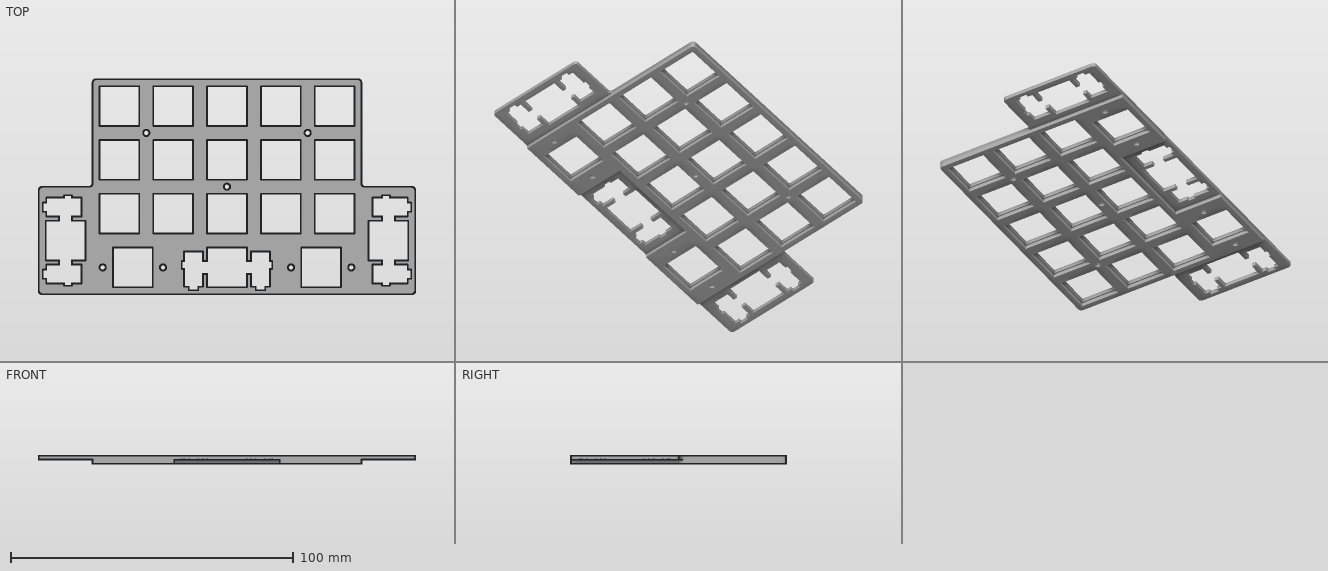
import cadquery as cq


plate_width = 133.4
pitch = plate_width / 7
total_thickness = 3.0
plate_thickness = 1.5
layer_thickness = total_thickness - plate_thickness
corner_radius = 1.27

plate_depth = 4 * pitch
shoulder_y = 2 * pitch
main_width = 5 * pitch

switch_size = 14.0
clip_relief = 0.5
relief_size = switch_size + 2 * clip_relief
grid_columns = (-2, -1, 0, 1, 2)
grid_rows = (1.5, 2.5, 3.5)
front_key_x = 1.75 * pitch
front_key_y = 0.5 * pitch
side_key_x = 3 * pitch
side_key_y = pitch

stab_offset = 11.9
stab_width = 6.7
stab_top = 5.6
stab_bottom = -6.8
foot_width = 3.2
foot_bottom = -8.0
wire_half_height = 2.3
ear_reach = 16.0
ear_bottom = -0.5

bay_width = 37.3
bay_depth = 18.7

screw_diameter = 2.1
front_screw_spacing = 10.7
screw_points = [
    (-1.5 * pitch, 3 * pitch),
    (1.5 * pitch, 3 * pitch),
    (0, shoulder_y),
]
for key_x in (-front_key_x, front_key_x):
    screw_points.append((key_x - front_screw_spacing, front_key_y))
    screw_points.append((key_x + front_screw_spacing, front_key_y))

single_key_points = [(column * pitch, row * pitch) for row in grid_rows for column in grid_columns]
single_key_points += [(-front_key_x, front_key_y), (front_key_x, front_key_y)]


def block(x_min, x_max, y_min, y_max, z_min, z_max):
    """Box between the given limits."""
    size = (x_max - x_min, y_max - y_min, z_max - z_min)
    return cq.Workplane("XY").box(*size, centered=False).translate((x_min, y_min, z_min))


def through_block(x_min, x_max, y_min, y_max):
    """Box that cuts through the whole thickness."""
    return block(x_min, x_max, y_min, y_max, 0, total_thickness)


def top_plate():
    """T-shaped plate with every outline corner rounded."""
    front = block(-plate_width / 2, plate_width / 2, 0, shoulder_y, layer_thickness, total_thickness)
    rear = block(-main_width / 2, main_width / 2, 0, plate_depth, layer_thickness, total_thickness)
    return front.union(rear).clean().edges("|Z").fillet(corner_radius)


def stiffening_layer():
    """Lower layer with rounded rear corners and a bay for the front stabilizer."""
    layer = block(-main_width / 2, main_width / 2, 0, plate_depth, 0, layer_thickness)
    layer = layer.edges("|Z and >Y").fillet(corner_radius)
    bay = block(-bay_width / 2, bay_width / 2, 0, bay_depth, 0, layer_thickness)
    return layer.cut(bay)


def switch_openings():
    """Square openings that widen below the top plate."""
    openings = cq.Workplane("XY").pushPoints(single_key_points).rect(switch_size, switch_size)
    reliefs = cq.Workplane("XY").pushPoints(single_key_points).rect(relief_size, relief_size)
    return openings.extrude(total_thickness).union(reliefs.extrude(layer_thickness))


def stabilizer_opening():
    """Opening of a two-unit key, centred on its switch, with the feet toward -Y."""
    half_switch = switch_size / 2
    opening = through_block(-half_switch, half_switch, -half_switch, half_switch)
    channel = through_block(-stab_offset, stab_offset, -wire_half_height, wire_half_height)
    opening = opening.union(channel)
    ears = through_block(-ear_reach, ear_reach, ear_bottom, wire_half_height)
    opening = opening.union(ears)
    for centre in (-stab_offset, stab_offset):
        housing = through_block(centre - stab_width / 2, centre + stab_width / 2, stab_bottom, stab_top)
        foot = through_block(centre - foot_width / 2, centre + foot_width / 2, foot_bottom, 0)
        opening = opening.union(housing).union(foot)
    return opening


def placed_stabilizer(x, y, turn):
    """Stabilizer opening turned about Z, then moved to its key centre."""
    return stabilizer_opening().rotate((0, 0, 0), (0, 0, 1), turn).translate((x, y, 0))


def screw_holes():
    """Plain holes through the whole thickness."""
    holes = cq.Workplane("XY").pushPoints(screw_points).circle(screw_diameter / 2)
    return holes.extrude(total_thickness)


result = top_plate().union(stiffening_layer())
result = result.cut(switch_openings())
result = result.cut(screw_holes())
result = result.cut(placed_stabilizer(0, front_key_y, 0))
result = result.cut(placed_stabilizer(-side_key_x, side_key_y, -90))
result = result.cut(placed_stabilizer(side_key_x, side_key_y, 90))